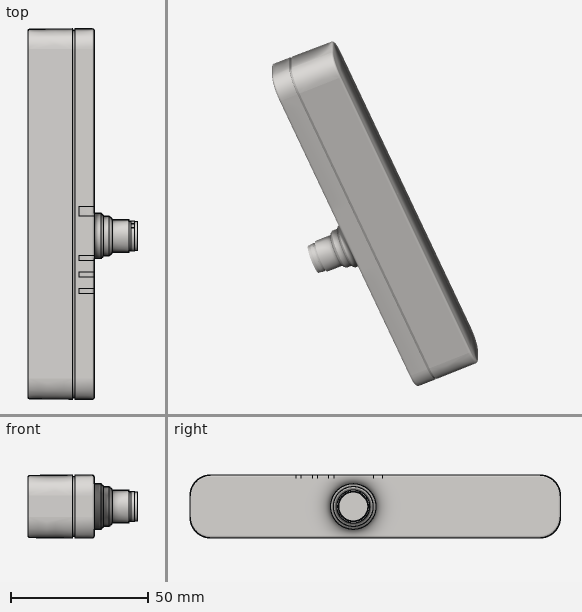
import cadquery as cq

HOUSING_LENGTH = 135.0
HOUSING_HEIGHT = 23.0
HOUSING_DEPTH = 24.2
CORNER_RADIUS = 7.5
EDGE_FILLET = 0.8
FACE_INSET = 0.15

GROOVE_START = 16.3
GROOVE_WIDTH = 0.8
GROOVE_DEPTH = 0.5

SENSING_LENGTH = 120.0
SENSING_HEIGHT = 15.0
SENSING_RECESS = 0.1

INDICATOR_RECESS = 0.1
INDICATOR_START = 18.7
INDICATOR_EDGE_RADIUS = 1.1
MAIN_INDICATOR_Y = 1.0
MAIN_INDICATOR_WIDTH = 3.3
SMALL_INDICATOR_WIDTH = 1.9
SMALL_INDICATOR_FIRST_Y = -16.0
SMALL_INDICATOR_PITCH = 6.0
SMALL_INDICATOR_COUNT = 3

CONNECTOR_Y = -8.0
CONNECTOR_ROOT = HOUSING_DEPTH - 1.0
COLLAR_RADIUS = 8.3
COLLAR_END = 26.6
COLLAR_SHOULDER_X = 27.2
COLLAR_SHOULDER_RADIUS = 7.8
RING_START = 27.6
RING_RADIUS = 7.25
RING_END = 29.6
RING_SHOULDER_X = 30.4
RING_SHOULDER_RADIUS = 6.6
BARREL_START = 30.8
BARREL_RADIUS = 6.0
BARREL_END = 36.8
NECK_RADIUS = 5.4
NECK_END = 37.6
BAND_RADIUS = 5.5
BAND_END = 38.8
TIP_RADIUS = 5.3
TIP_END = 40.0

NOTCH_ANGLE = 45.0
NOTCH_WIDTH = 2.2
NOTCH_DEPTH = 0.4


def rounded_section(x, inset):
    """Rounded rectangle across the housing at depth x, shrunk by inset per side."""
    return (
        cq.Sketch()
        .rect(HOUSING_LENGTH - 2 * inset, HOUSING_HEIGHT - 2 * inset)
        .vertices()
        .fillet(CORNER_RADIUS - inset)
        .moved(cq.Location(cq.Vector(0, 0, x)))
    )


def loft_between(x_start, inset_start, x_end, inset_end):
    start = rounded_section(x_start, inset_start)
    end = rounded_section(x_end, inset_end)
    return cq.Workplane("YZ").placeSketch(start, end).loft()


def make_housing():
    """Drafted base and straight lid, joined by the narrower floor of the parting groove."""
    groove_end = GROOVE_START + GROOVE_WIDTH
    base = loft_between(0, FACE_INSET, GROOVE_START, 0).faces("<X").edges().fillet(EDGE_FILLET)
    bridge = loft_between(GROOVE_START, GROOVE_DEPTH, groove_end, GROOVE_DEPTH)
    lid = loft_between(groove_end, 0, HOUSING_DEPTH, 0).faces(">X").edges().fillet(EDGE_FILLET)
    return base.union(bridge).union(lid)


def cut_sensing_window(body):
    """Shallow rectangular recess in the sensing face; half of the cutter lies outside."""
    window = cq.Workplane("XY").box(2 * SENSING_RECESS, SENSING_LENGTH, SENSING_HEIGHT)
    return body.cut(window)


def cut_indicator(body, y, width):
    """Shallow window in the top face whose floor rounds down into the rear face."""
    top = HOUSING_HEIGHT / 2
    floor = top - INDICATOR_RECESS
    pocket = (
        cq.Workplane("XZ")
        .moveTo(INDICATOR_START, top)
        .lineTo(INDICATOR_START, floor)
        .lineTo(HOUSING_DEPTH - INDICATOR_EDGE_RADIUS, floor)
        .radiusArc((HOUSING_DEPTH, floor - INDICATOR_EDGE_RADIUS), INDICATOR_EDGE_RADIUS)
        .lineTo(HOUSING_DEPTH, top)
        .close()
        .extrude(width / 2, both=True)
        .translate((0, y, 0))
    )
    return body.cut(pocket)


def cut_indicators(body):
    body = cut_indicator(body, MAIN_INDICATOR_Y, MAIN_INDICATOR_WIDTH)
    for index in range(SMALL_INDICATOR_COUNT):
        y = SMALL_INDICATOR_FIRST_Y - index * SMALL_INDICATOR_PITCH
        body = cut_indicator(body, y, SMALL_INDICATOR_WIDTH)
    return body


def make_connector():
    """Stepped plug turned about an axis along X, with a notch in its band."""
    profile = [
        (CONNECTOR_ROOT, 0),
        (CONNECTOR_ROOT, COLLAR_RADIUS),
        (COLLAR_END, COLLAR_RADIUS),
        (COLLAR_SHOULDER_X, COLLAR_SHOULDER_RADIUS),
        (RING_START, RING_RADIUS),
        (RING_END, RING_RADIUS),
        (RING_SHOULDER_X, RING_SHOULDER_RADIUS),
        (BARREL_START, BARREL_RADIUS),
        (BARREL_END, BARREL_RADIUS),
        (BARREL_END, NECK_RADIUS),
        (NECK_END, NECK_RADIUS),
        (NECK_END, BAND_RADIUS),
        (BAND_END, BAND_RADIUS),
        (BAND_END, TIP_RADIUS),
        (TIP_END, TIP_RADIUS),
        (TIP_END, 0),
    ]
    plug = cq.Workplane("XZ").polyline(profile).close().revolve(360, (0, 0, 0), (1, 0, 0))
    notch = (
        cq.Workplane("XY")
        .box(BAND_END - NECK_END, NOTCH_WIDTH, 2 * NOTCH_DEPTH)
        .translate(((NECK_END + BAND_END) / 2, 0, BAND_RADIUS))
        .rotate((0, 0, 0), (1, 0, 0), -NOTCH_ANGLE)
    )
    return plug.cut(notch).translate((0, CONNECTOR_Y, 0))


housing = cut_indicators(cut_sensing_window(make_housing()))
result = housing.union(make_connector())